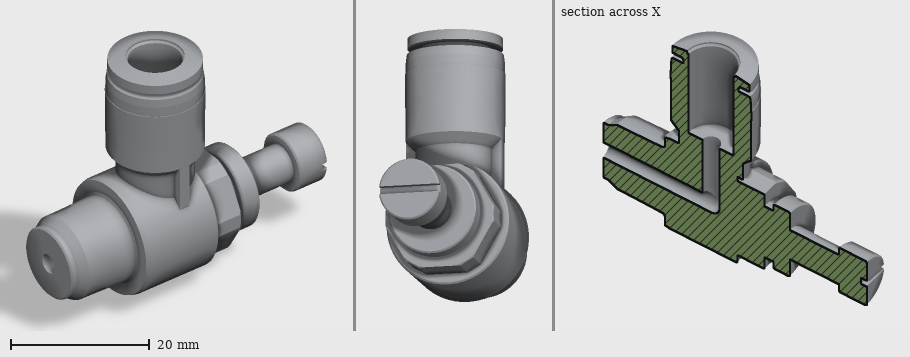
import cadquery as cq

overall_length = 47.0
overall_height = 37.6

front_y = -19.2
back_y = front_y + overall_length
tip_back_y = -18.2
thread_front_y = -16.7
body_front_y = -8.25
body_back_y = 4.75
hex_back_y = 9.55
nut_front_y = 11.1
nut_back_y = 14.1
knob_front_y = 22.75

body_dia = 18.2
tip_dia = 11.2
thread_front_dia = 13.0
thread_back_dia = 13.4
thread_root_dia = 14.0
root_length = 0.3
nut_neck_dia = 10.4
nut_dia = 13.0
stem_dia = 6.0
knob_dia = 9.0
edge_chamfer = 0.25
body_front_bevel = 0.9

hex_across_flats = 15.05
hex_across_cut_corners = 16.07
hex_chamfer = 0.3

slot_width = 1.15
slot_depth = 1.0

top_z = overall_height - body_dia / 2
cap_shoulder_z = 28.05
cap_bottom_z = 26.6
release_flare_z = 26.23
collar_top_z = 25.65
collar_bottom_z = 24.4
ridge_z = 22.8
sleeve_bottom_z = 12.92
port_neck_top_z = 11.45
neck_underside_z = 8.22

cap_top_dia = 8.5
cap_dia = 13.8
release_neck_dia = 9.9
release_flare_dia = 10.4
collar_dia = 14.0
sleeve_dia = 14.5
sleeve_end_dia = 14.35
port_neck_dia = 11.45
tube_bore_dia = 7.95
tube_bore_bottom_z = 12.2

rib_width = 1.75
rib_span = 14.2
rib_overlap = 0.25
rib_bottom_z = 5.5

passage_dia = 3.0


def cylinder_y(diameter, start_y, end_y):
    """Solid cylinder on the screw axis."""
    plane = cq.Workplane("XZ", origin=(0, start_y, 0))
    return plane.circle(diameter / 2).extrude(start_y - end_y)


def cylinder_z(diameter, bottom_z, top):
    """Solid cylinder on the port axis."""
    return cq.Workplane("XY").workplane(offset=bottom_z).circle(diameter / 2).extrude(top - bottom_z)


def threaded_end():
    outline = [
        (0, front_y),
        (tip_dia / 2 - edge_chamfer, front_y),
        (tip_dia / 2, front_y + edge_chamfer),
        (tip_dia / 2, tip_back_y),
        (thread_front_dia / 2, thread_front_y),
        (thread_back_dia / 2, body_front_y - root_length),
        (thread_root_dia / 2, body_front_y),
        (0, body_front_y),
    ]
    return cq.Workplane("XY").polyline(outline).close().revolve(360, (0, 0, 0), (0, 1, 0))


def hex_prism(across_flats, turn):
    prism = cq.Workplane("XZ", origin=(0, body_back_y, 0))
    prism = prism.polygon(6, across_flats, circumscribed=True).extrude(body_back_y - hex_back_y)
    return prism.rotate((0, 0, 0), (0, 1, 0), turn)


def hexagon():
    trimmed = hex_prism(hex_across_flats, 30).intersect(hex_prism(hex_across_cut_corners, 0))
    turned_end = cylinder_y(hex_across_cut_corners + hex_chamfer, body_back_y, hex_back_y)
    return trimmed.intersect(turned_end.faces(">Y").chamfer(hex_chamfer))


def knob():
    head = cylinder_y(knob_dia, knob_front_y, back_y).edges().chamfer(edge_chamfer)
    slot = cq.Workplane("XY").box(knob_dia, 2 * slot_depth, slot_width).translate((0, back_y, 0))
    return head.cut(slot)


def tube_port():
    outline = [
        (0, 0),
        (port_neck_dia / 2, 0),
        (port_neck_dia / 2, port_neck_top_z),
        (sleeve_end_dia / 2, sleeve_bottom_z),
        (sleeve_dia / 2, ridge_z),
        (sleeve_end_dia / 2, ridge_z),
        (sleeve_end_dia / 2, collar_bottom_z),
        (collar_dia / 2, collar_top_z),
        (release_neck_dia / 2, collar_top_z),
        (release_neck_dia / 2, release_flare_z),
        (release_flare_dia / 2, cap_bottom_z),
        (cap_dia / 2, cap_bottom_z),
        (cap_dia / 2, cap_shoulder_z),
        (cap_top_dia / 2, top_z),
        (0, top_z),
    ]
    port = cq.Workplane("XZ").polyline(outline).close().revolve(360, (0, 0, 0), (0, 1, 0))
    undercut = cq.Workplane("XY")
    undercut = undercut.box(port_neck_dia, port_neck_dia, neck_underside_z, centered=(True, False, False))
    return port.cut(undercut.translate((0, body_back_y - edge_chamfer, 0)))


def ribs():
    height = sleeve_bottom_z + rib_overlap - rib_bottom_z
    plate = cq.Workplane("XY").box(rib_span, rib_width, height, centered=(True, True, False))
    return plate.translate((0, 0, rib_bottom_z))


def tube_bore():
    lead_in = (cap_top_dia - tube_bore_dia) / 2
    bore = cylinder_z(tube_bore_dia, tube_bore_bottom_z, top_z)
    cone = cylinder_z(cap_top_dia, top_z - 2 * lead_in, top_z).faces("<Z").chamfer(lead_in)
    return bore.union(cone)


def passages():
    """Two crossing holes that end in one shared ball end at the origin."""
    front_hole = cylinder_y(passage_dia, front_y, 0)
    port_hole = cylinder_z(passage_dia, 0, tube_bore_bottom_z)
    return front_hole.union(port_hole).union(cq.Workplane("XY").sphere(passage_dia / 2))


body = cylinder_y(body_dia, body_front_y, body_back_y)
body = body.faces(">Y").chamfer(edge_chamfer)
body = body.faces("<Y").chamfer(body_front_bevel, edge_chamfer)
nut = cylinder_y(nut_dia, nut_front_y, nut_back_y).edges().chamfer(edge_chamfer)

result = (
    body
    .union(threaded_end())
    .union(hexagon())
    .union(cylinder_y(nut_neck_dia, hex_back_y, nut_front_y))
    .union(nut)
    .union(cylinder_y(stem_dia, nut_back_y, knob_front_y))
    .union(knob())
    .union(tube_port())
    .union(ribs())
    .cut(tube_bore())
    .cut(passages())
)